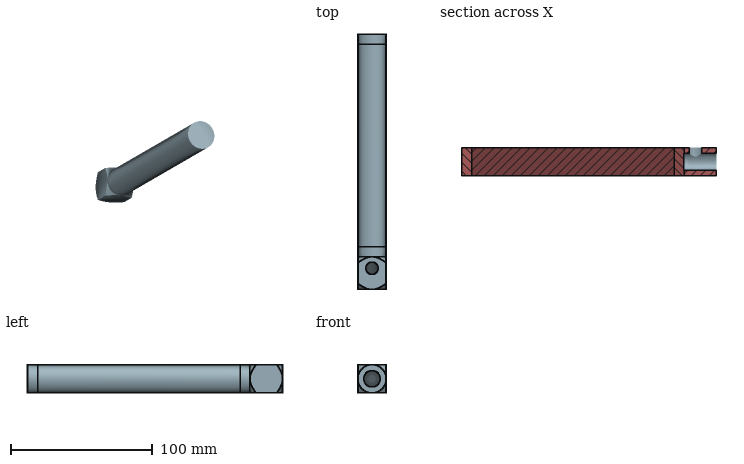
import cadquery as cq
import math

LENGTH = 180.0
WIDTH = 20.0
FRONT_Y = -LENGTH / 2

HEAD_LENGTH = 23.0
CORNER_ANGLE = 45.0
FACE_DIAMETER = WIDTH
BORE_DIAMETER = 11.5
PORT_DIAMETER = 8.6
PORT_FROM_FRONT = 15.0

COLLAR_LENGTH = 7.0
CAP_LENGTH = 7.2
TUBE_LENGTH = LENGTH - HEAD_LENGTH - COLLAR_LENGTH - CAP_LENGTH

COLLAR_Y = FRONT_Y + HEAD_LENGTH
TUBE_Y = COLLAR_Y + COLLAR_LENGTH
CAP_Y = TUBE_Y + TUBE_LENGTH


def make_cylinder(start_y, length, diameter):
    """Solid cylinder along +Y, starting at start_y."""
    start_plane = cq.Plane(origin=(0, start_y, 0), xDir=(1, 0, 0), normal=(0, 1, 0))
    return cq.Workplane(start_plane).circle(diameter / 2).extrude(length)


def make_turned_envelope():
    """Round blank with a cone at each end that cuts the corners off the square head."""
    face_radius = FACE_DIAMETER / 2
    corner_radius = WIDTH / math.sqrt(2)
    cone_length = (corner_radius - face_radius) * math.tan(math.radians(CORNER_ANGLE))
    return (
        cq.Workplane("XY")
        .moveTo(0, FRONT_Y)
        .lineTo(face_radius, FRONT_Y)
        .lineTo(corner_radius, FRONT_Y + cone_length)
        .lineTo(corner_radius, COLLAR_Y - cone_length)
        .lineTo(face_radius, COLLAR_Y)
        .lineTo(0, COLLAR_Y)
        .close()
        .revolve(360, (0, 0, 0), (0, 1, 0))
    )


def make_head():
    """Square head with turned corners, an axial through bore and a port from the top into it."""
    block = cq.Workplane("XY").box(WIDTH, HEAD_LENGTH, WIDTH).translate((0, FRONT_Y + HEAD_LENGTH / 2, 0))
    bore = make_cylinder(FRONT_Y, HEAD_LENGTH, BORE_DIAMETER)
    port = (
        cq.Workplane("XY")
        .center(0, FRONT_Y + PORT_FROM_FRONT)
        .circle(PORT_DIAMETER / 2)
        .extrude(WIDTH / 2)
    )
    return block.intersect(make_turned_envelope()).cut(bore).cut(port)


head = make_head()
collar = make_cylinder(COLLAR_Y, COLLAR_LENGTH, WIDTH)
tube = make_cylinder(TUBE_Y, TUBE_LENGTH, WIDTH)
cap = make_cylinder(CAP_Y, CAP_LENGTH, WIDTH)

result = cq.Compound.makeCompound([head.val(), collar.val(), tube.val(), cap.val()])